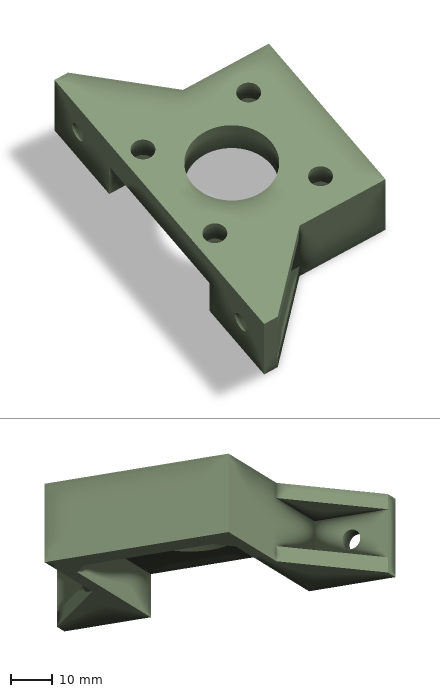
import cadquery as cq

width = 90.2
depth = 49.2
height = 20.0

body_width = 50.15
flange_thickness = 4.0
shoulder_y = flange_thickness + (width - body_width) / 2

pocket_width = 43.1
pocket_height = 11.0
pocket_corner = 4.15

bore_y = 21.2
bore_diameter = 23.0
screw_spacing = 30.9
screw_diameter = 6.0
screw_depth = 6.0

mount_spacing = 70.2
mount_diameter = 5.0
slot_height = 12.3

pocket_back_y = bore_y + pocket_width / 2


def make_body():
    """Block with a wider front flange joined by sloping shoulders."""
    half_body = body_width / 2
    half_width = width / 2
    outline = [
        (-half_width, 0),
        (half_width, 0),
        (half_width, flange_thickness),
        (half_body, shoulder_y),
        (half_body, depth),
        (-half_body, depth),
        (-half_body, shoulder_y),
        (-half_width, flange_thickness),
    ]
    return cq.Workplane("XY").polyline(outline).close().extrude(height)


def make_motor_pocket():
    """Recess for a square motor with chamfered rear corners."""
    return (
        cq.Workplane("XY")
        .box(pocket_width, pocket_back_y, pocket_height, centered=(True, False, False))
        .edges("|Z and >Y")
        .chamfer(pocket_corner)
    )


def make_bores():
    """Central through bore and four blind screw recesses in the top face."""
    center_bore = cq.Workplane("XY").center(0, bore_y).circle(bore_diameter / 2).extrude(height)
    screws = (
        cq.Workplane("XY", origin=(0, bore_y, height))
        .rect(screw_spacing, screw_spacing, forConstruction=True)
        .vertices()
        .circle(screw_diameter / 2)
        .extrude(-screw_depth)
    )
    return center_bore.union(screws)


def make_mount(side):
    """Flange hole and the access slot behind it; side is -1 or 1."""
    hole = (
        cq.Workplane("XZ")
        .center(side * mount_spacing / 2, height / 2)
        .circle(mount_diameter / 2)
        .extrude(-flange_thickness)
    )
    slot_width = (width - body_width) / 2
    slot_length = shoulder_y - flange_thickness
    slot = cq.Workplane("XY").box(slot_width, slot_length, slot_height).translate((
        side * (body_width + slot_width) / 2,
        flange_thickness + slot_length / 2,
        height / 2,
    ))
    return hole.union(slot)


result = make_body().cut(make_motor_pocket()).cut(make_bores())
for side in (-1, 1):
    result = result.cut(make_mount(side))